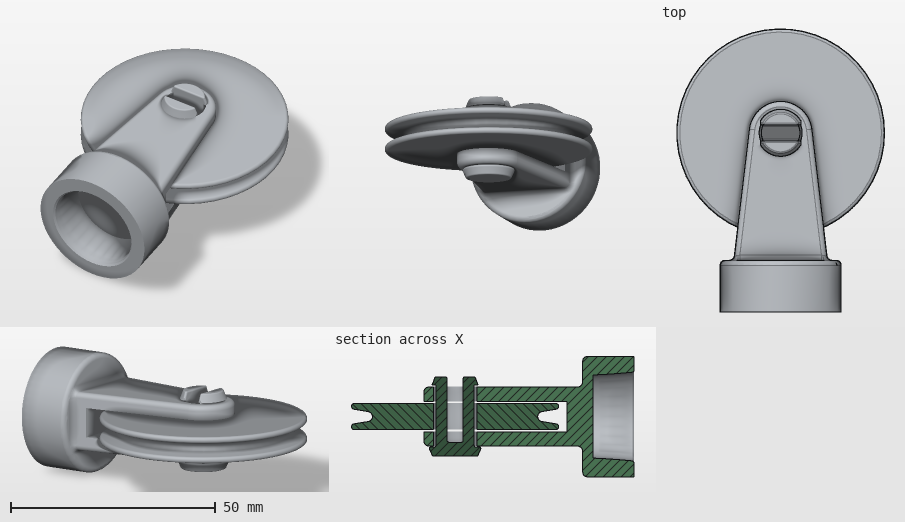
import cadquery as cq
import math


PULLEY_RADIUS = 25.4
PULLEY_HALF_THICKNESS = 3.25
RIM_ROUND = 0.75
GROOVE_BOTTOM_RADIUS = 20.3
GROOVE_ROUND = 1.2

PIN_RADIUS = 4.7
HOLE_RADIUS = 5.25
PIN_HALF_LENGTH = 9.75
PIN_ROUND = 0.4
HEAD_CLEARANCE = 0.15
HEAD_RADIUS = 6.6
HEAD_END_RADIUS = 5.55
BARB_RADIUS = 5.75
BARB_TIP_RADIUS = 4.9
BARB_HEIGHT = 2.15
BARB_HALF_WIDTH = 4.9
PIN_SLOT_WIDTH = 3.9
PIN_SLOT_FLOOR_Z = -6.2

YOKE_HALF_THICKNESS = 7.3
YOKE_TIP_RADIUS = 7.7
YOKE_TAPER_ANGLE = 6.8
YOKE_GAP = 7.35
YOKE_GAP_FLOOR_Y = -27.3
FORK_ROUND = 1.3
SOCKET_ROUND = 1.25
ROOT_ROUND = 1.25
SOCKET_RADIUS = 14.8
SOCKET_LENGTH = 12.7
OVERALL_LENGTH = 69.2
SOCKET_MOUTH_Y = PULLEY_RADIUS - OVERALL_LENGTH
SOCKET_BACK_Y = SOCKET_MOUTH_Y + SOCKET_LENGTH
BORE_RADIUS = 10.8
BORE_FLOOR_RADIUS = 10.1
BORE_DEPTH = 10.05
BORE_CHAMFER = 0.4


def make_pulley():
    """Wheel with two rounded flanges, a rounded V groove and a bore."""
    rim_r = PULLEY_RADIUS - RIM_ROUND
    rim_z = PULLEY_HALF_THICKNESS - RIM_ROUND
    groove_r = GROOVE_BOTTOM_RADIUS + GROOVE_ROUND

    centre_distance = math.hypot(rim_r - groove_r, rim_z)
    centre_angle = math.atan2(rim_z, rim_r - groove_r)
    flank_angle = centre_angle - math.asin((RIM_ROUND + GROOVE_ROUND) / centre_distance)
    sin_f = math.sin(flank_angle)
    cos_f = math.cos(flank_angle)
    rim_end = (rim_r + RIM_ROUND * sin_f, rim_z - RIM_ROUND * cos_f)
    groove_end = (groove_r - GROOVE_ROUND * sin_f, GROOVE_ROUND * cos_f)

    profile = (
        cq.Workplane("XZ")
        .moveTo(HOLE_RADIUS, -PULLEY_HALF_THICKNESS)
        .lineTo(rim_r, -PULLEY_HALF_THICKNESS)
        .threePointArc((PULLEY_RADIUS, -rim_z), (rim_end[0], -rim_end[1]))
        .lineTo(groove_end[0], -groove_end[1])
        .threePointArc((GROOVE_BOTTOM_RADIUS, 0), groove_end)
        .lineTo(*rim_end)
        .threePointArc((PULLEY_RADIUS, rim_z), (rim_r, PULLEY_HALF_THICKNESS))
        .lineTo(HOLE_RADIUS, PULLEY_HALF_THICKNESS)
        .close()
    )
    return profile.revolve(360, (0, 0, 0), (0, 1, 0))


def make_pin():
    """Snap pin: conical head below, split shaft, two barbed legs above."""
    barb_z = PIN_HALF_LENGTH - BARB_HEIGHT
    head_z = -YOKE_HALF_THICKNESS - HEAD_CLEARANCE
    pin = (
        cq.Workplane("XZ")
        .moveTo(0, -PIN_HALF_LENGTH)
        .lineTo(HEAD_END_RADIUS, -PIN_HALF_LENGTH)
        .lineTo(HEAD_RADIUS, head_z)
        .lineTo(PIN_RADIUS, head_z)
        .lineTo(PIN_RADIUS, barb_z)
        .lineTo(BARB_RADIUS, barb_z)
        .lineTo(BARB_TIP_RADIUS, PIN_HALF_LENGTH)
        .lineTo(0, PIN_HALF_LENGTH)
        .close()
        .revolve(360, (0, 0, 0), (0, 1, 0))
    )

    head_zone = cq.selectors.BoxSelector(
        (-HEAD_RADIUS, -HEAD_RADIUS, -PIN_HALF_LENGTH - PIN_ROUND),
        (HEAD_RADIUS, HEAD_RADIUS, head_z + PIN_ROUND),
    )
    pin = pin.edges(head_zone).edges("%CIRCLE").fillet(PIN_ROUND)

    slot = (
        cq.Workplane("XY", origin=(0, 0, PIN_SLOT_FLOOR_Z))
        .rect(2 * HEAD_RADIUS, PIN_SLOT_WIDTH)
        .extrude(PIN_HALF_LENGTH + PIN_ROUND - PIN_SLOT_FLOOR_Z)
        .edges("|X and <Z").fillet(PIN_ROUND)
    )
    pin = pin.cut(slot)

    barb_zone = cq.selectors.BoxSelector(
        (-BARB_RADIUS, -BARB_RADIUS, barb_z + PIN_ROUND),
        (BARB_RADIUS, BARB_RADIUS, PIN_HALF_LENGTH + PIN_ROUND),
    )
    pin = pin.edges(barb_zone).fillet(PIN_ROUND)

    for side in (-1, 1):
        trim = (
            cq.Workplane("XY", origin=(side * (BARB_HALF_WIDTH + BARB_RADIUS), 0, barb_z))
            .rect(2 * BARB_RADIUS, 2 * BARB_RADIUS)
            .extrude(BARB_HEIGHT)
        )
        pin = pin.cut(trim)
    return pin


def make_yoke():
    """Tapered fork carrying the pulley, blended into a round socket."""
    socket = (
        cq.Workplane("XZ", origin=(0, SOCKET_BACK_Y, 0))
        .circle(SOCKET_RADIUS)
        .extrude(SOCKET_LENGTH)
        .faces(">Y").edges().fillet(SOCKET_ROUND)
    )

    taper = math.radians(YOKE_TAPER_ANGLE)
    tangent_x = YOKE_TIP_RADIUS * math.cos(taper)
    tangent_y = YOKE_TIP_RADIUS * math.sin(taper)
    root_y = SOCKET_BACK_Y - SOCKET_ROUND
    root_x = tangent_x + (tangent_y - root_y) * math.tan(taper)
    fork = (
        cq.Workplane("XY", origin=(0, 0, -YOKE_HALF_THICKNESS))
        .moveTo(-root_x, root_y)
        .lineTo(-tangent_x, tangent_y)
        .threePointArc((0, YOKE_TIP_RADIUS), (tangent_x, tangent_y))
        .lineTo(root_x, root_y)
        .close()
        .extrude(2 * YOKE_HALF_THICKNESS)
    )
    fork = fork.faces("<Z or >Z").edges("not <Y").fillet(FORK_ROUND)

    blend_zone = cq.selectors.BoxSelector(
        (-SOCKET_RADIUS, SOCKET_BACK_Y - ROOT_ROUND / 2, -SOCKET_RADIUS),
        (SOCKET_RADIUS, SOCKET_BACK_Y + ROOT_ROUND / 2, SOCKET_RADIUS),
    )
    body = fork.union(socket)
    body = body.edges(blend_zone).edges("%LINE").fillet(ROOT_ROUND)

    wheel_gap = (
        cq.Workplane("XY", origin=(0, YOKE_GAP_FLOOR_Y, 0))
        .box(2 * SOCKET_RADIUS, YOKE_TIP_RADIUS - YOKE_GAP_FLOOR_Y, YOKE_GAP, centered=(True, False, True))
    )
    pin_hole = cq.Workplane("XY").circle(HOLE_RADIUS).extrude(YOKE_HALF_THICKNESS, both=True)

    mouth_radius = BORE_RADIUS + BORE_CHAMFER
    bore = (
        cq.Workplane("XY")
        .moveTo(0, SOCKET_MOUTH_Y)
        .lineTo(mouth_radius, SOCKET_MOUTH_Y)
        .lineTo(BORE_RADIUS, SOCKET_MOUTH_Y + BORE_CHAMFER)
        .lineTo(BORE_FLOOR_RADIUS, SOCKET_MOUTH_Y + BORE_DEPTH)
        .lineTo(0, SOCKET_MOUTH_Y + BORE_DEPTH)
        .close()
        .revolve(360, (0, 0, 0), (0, 1, 0))
    )
    return body.cut(wheel_gap).cut(pin_hole).cut(bore)


pulley = make_pulley()
pin = make_pin()
yoke = make_yoke()
result = cq.Compound.makeCompound([yoke.solids().val(), pulley.solids().val(), pin.solids().val()])